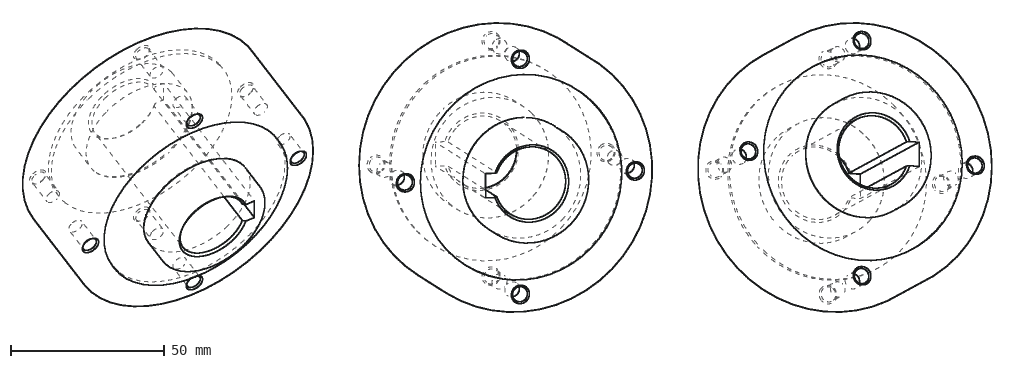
import cadquery as cq
import math

drum_diameter = 90.0
drum_width = 35.0
cover_diameter = 67.9
cover_width = 40.0
hub_diameter = 40.0
hub_length = 60.0
rim_fillet = 0.9
hub_fillet = 1.4

groove_radius = 1.0

bore_diameter = 24.0
bore_chamfer = 0.8
keyway_width = 8.0
keyway_reach = 15.4

hole_count = 4
hole_circle_diameter = 78.0
hole_diameter = 5.0
hole_depth = 10.0
hole_chamfer = 0.5
drill_tip_angle = 118.0


def disc(diameter, width):
    """Disc on the X axis, centred on the origin."""
    return cq.Workplane("YZ").circle(diameter / 2).extrude(width).translate((-width / 2, 0, 0))


def groove():
    """Ring around the hub at the +X cover face, bounded by the rounded cover edge."""
    hub_radius = hub_diameter / 2
    face_x = cover_width / 2
    arc_offset = groove_radius * (1 - math.sqrt(0.5))
    return (
        cq.Workplane("XY")
        .moveTo(face_x, hub_radius)
        .lineTo(face_x, hub_radius + groove_radius)
        .threePointArc(
            (face_x - arc_offset, hub_radius + arc_offset),
            (face_x - groove_radius, hub_radius),
        )
        .close()
        .revolve(360, (0, 0), (1, 0))
    )


def bore_countersink():
    """45 degree chamfer at the +X mouth of the bore."""
    mouth_radius = bore_diameter / 2 + bore_chamfer
    profile = [
        (hub_length / 2, 0),
        (hub_length / 2, mouth_radius),
        (hub_length / 2 - mouth_radius, 0),
    ]
    return cq.Workplane("XY").polyline(profile).close().revolve(360, (0, 0), (1, 0))


def drilled_hole():
    """Chamfered blind hole with a drill tip, entering the +X drum face."""
    radius = hole_diameter / 2
    tip_length = radius / math.tan(math.radians(drill_tip_angle / 2))
    profile = [
        (0, 0),
        (0, radius + hole_chamfer),
        (-hole_chamfer, radius),
        (-hole_depth, radius),
        (-hole_depth - tip_length, 0),
    ]
    hole = cq.Workplane("XY").polyline(profile).close().revolve(360, (0, 0), (1, 0))
    return hole.translate((drum_width / 2, hole_circle_diameter / 2, 0))


drum = disc(drum_diameter, drum_width).edges().fillet(rim_fillet)
cover = disc(cover_diameter, cover_width).edges().fillet(rim_fillet)
hub = disc(hub_diameter, hub_length).edges().fillet(hub_fillet)
result = drum.union(cover).union(hub)

result = result.cut(disc(bore_diameter, hub_length))
keyway = cq.Workplane("XY").box(hub_length, keyway_reach, keyway_width)
result = result.cut(keyway.translate((0, keyway_reach / 2, 0)))

end_cuts = [groove(), bore_countersink()]
for index in range(hole_count):
    end_cuts.append(drilled_hole().rotate((0, 0, 0), (1, 0, 0), index * 360 / hole_count))

for cut in end_cuts:
    result = result.cut(cut).cut(cut.mirror("YZ"))